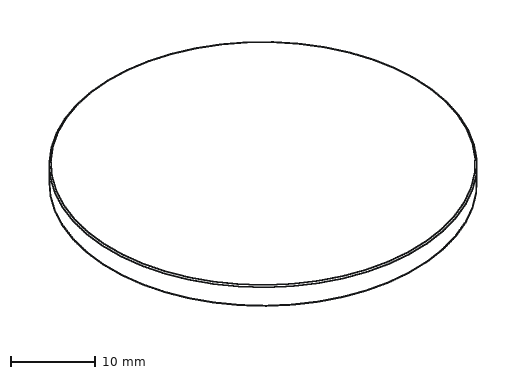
import cadquery as cq

diameter = 50.8
center_thickness = 5.1
dome_height = 2.05
bevel_width = 0.2
bevel_height = 0.2

rim_radius = diameter / 2
face_radius = rim_radius - bevel_width
dome_base = center_thickness - dome_height

sphere_radius = (face_radius**2 + dome_height**2) / (2 * dome_height)
mid_radius = face_radius / 2
mid_height = center_thickness - sphere_radius + (sphere_radius**2 - mid_radius**2) ** 0.5

half_section = (
    cq.Workplane("XZ")
    .moveTo(0, 0)
    .lineTo(face_radius, 0)
    .lineTo(rim_radius, bevel_height)
    .lineTo(rim_radius, dome_base - bevel_height)
    .lineTo(face_radius, dome_base)
    .threePointArc((mid_radius, mid_height), (0, center_thickness))
    .close()
)

result = half_section.revolve(360, (0, 0, 0), (0, 1, 0))